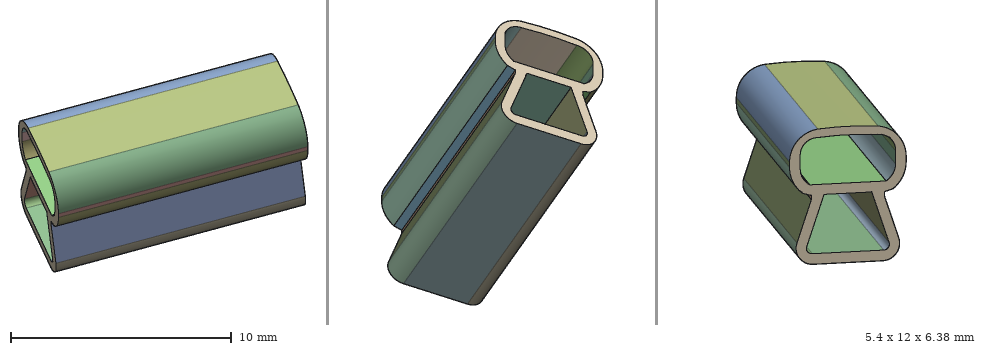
import cadquery as cq

length = 12.0
height = 6.38
half_width = 2.7

crown_half_width = 1.39
crown_edge_z = 6.32
side_top_z = 4.85
side_bottom_z = 4.6
shoulder_radius = 1.49
haunch_radius = 1.57
haunch_end_x = 2.09
haunch_end_z = 3.35

crown_wall = 0.4
side_wall = 0.49
cavity_side_top_z = 5.11
cavity_side_bottom_z = 4.5
cavity_top_radius = 0.79
cavity_bottom_radius = 0.96
cavity_floor_half_width = 1.76
cavity_floor_z = 3.73

neck_half_width = 1.69
neck_top_z = 3.23
neck_bottom_z = 3.04
flare_slope = 1 / 3
foot_half_width = neck_half_width + neck_bottom_z * flare_slope
foot_radius = 0.79
foot_floor = 0.5
foot_cavity_top_z = 3.25
foot_cavity_top_half_width = 1.1
foot_cavity_bottom_half_width = (
    foot_cavity_top_half_width + (foot_cavity_top_z - foot_floor) * flare_slope
)
foot_cavity_radius = 0.26


def profile_plane():
    """XZ sketch plane at the front end; a negative extrusion runs toward +Y."""
    return cq.Workplane("XZ", origin=(0, -length / 2, 0))


def make_upper_tube():
    return (
        profile_plane()
        .moveTo(-crown_half_width, crown_edge_z)
        .threePointArc((0, height), (crown_half_width, crown_edge_z))
        .radiusArc((half_width, side_top_z), shoulder_radius)
        .lineTo(half_width, side_bottom_z)
        .radiusArc((haunch_end_x, haunch_end_z), haunch_radius)
        .lineTo(neck_half_width, neck_top_z)
        .lineTo(-neck_half_width, neck_top_z)
        .lineTo(-haunch_end_x, haunch_end_z)
        .radiusArc((-half_width, side_bottom_z), haunch_radius)
        .lineTo(-half_width, side_top_z)
        .radiusArc((-crown_half_width, crown_edge_z), shoulder_radius)
        .close()
        .extrude(-length)
    )


def make_upper_cavity():
    side_x = half_width - side_wall
    crown_z = crown_edge_z - crown_wall
    return (
        profile_plane()
        .moveTo(-crown_half_width, crown_z)
        .threePointArc((0, height - crown_wall), (crown_half_width, crown_z))
        .radiusArc((side_x, cavity_side_top_z), cavity_top_radius)
        .lineTo(side_x, cavity_side_bottom_z)
        .radiusArc((cavity_floor_half_width, cavity_floor_z), cavity_bottom_radius)
        .lineTo(-cavity_floor_half_width, cavity_floor_z)
        .radiusArc((-side_x, cavity_side_bottom_z), cavity_bottom_radius)
        .lineTo(-side_x, cavity_side_top_z)
        .radiusArc((-crown_half_width, crown_z), cavity_top_radius)
        .close()
        .extrude(-length)
    )


def make_foot():
    return (
        profile_plane()
        .moveTo(-foot_half_width, 0)
        .lineTo(foot_half_width, 0)
        .lineTo(neck_half_width, neck_bottom_z)
        .lineTo(neck_half_width, neck_top_z)
        .lineTo(-neck_half_width, neck_top_z)
        .lineTo(-neck_half_width, neck_bottom_z)
        .close()
        .extrude(-length)
        .faces("<Z")
        .edges("|Y")
        .fillet(foot_radius)
    )


def make_foot_cavity():
    return (
        profile_plane()
        .moveTo(-foot_cavity_bottom_half_width, foot_floor)
        .lineTo(foot_cavity_bottom_half_width, foot_floor)
        .lineTo(foot_cavity_top_half_width, foot_cavity_top_z)
        .lineTo(-foot_cavity_top_half_width, foot_cavity_top_z)
        .close()
        .extrude(-length)
        .faces("<Z")
        .edges("|Y")
        .fillet(foot_cavity_radius)
    )


body = make_upper_tube().union(make_foot())
result = body.cut(make_upper_cavity()).cut(make_foot_cavity())